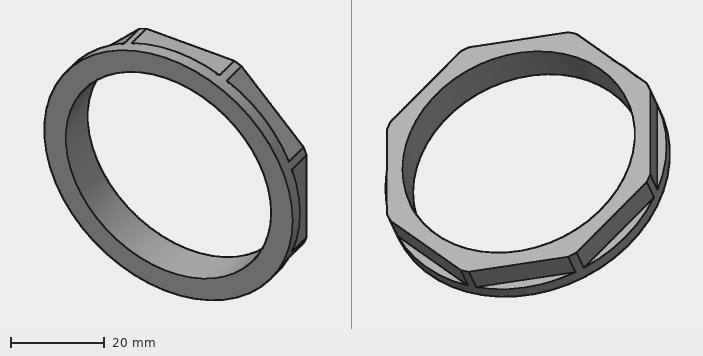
import cadquery as cq
import math

flange_diameter = 62.0
flange_thickness = 3.0
grip_length = 6.0
grip_across_flats = 58.0
grip_sides = 8
bore_diameter = 51.2
total_length = flange_thickness + grip_length


def disc(diameter, length):
    """Cylinder from Y = 0 toward +Y."""
    return cq.Workplane("XZ").circle(diameter / 2).extrude(-length)


def octagonal_grip():
    """Octagon with its corners rounded off to the flange diameter, flats facing X and Z."""
    across_corners = grip_across_flats / math.cos(math.pi / grip_sides)
    octagon = (
        cq.Workplane("XZ")
        .transformed(rotate=(0, 0, 180 / grip_sides))
        .polygon(grip_sides, across_corners)
        .extrude(-grip_length)
    )
    trimmed = octagon.intersect(disc(flange_diameter, grip_length))
    return trimmed.translate((0, flange_thickness, 0))


flange = disc(flange_diameter, flange_thickness)
bore = disc(bore_diameter, total_length)

result = flange.union(octagonal_grip()).cut(bore)